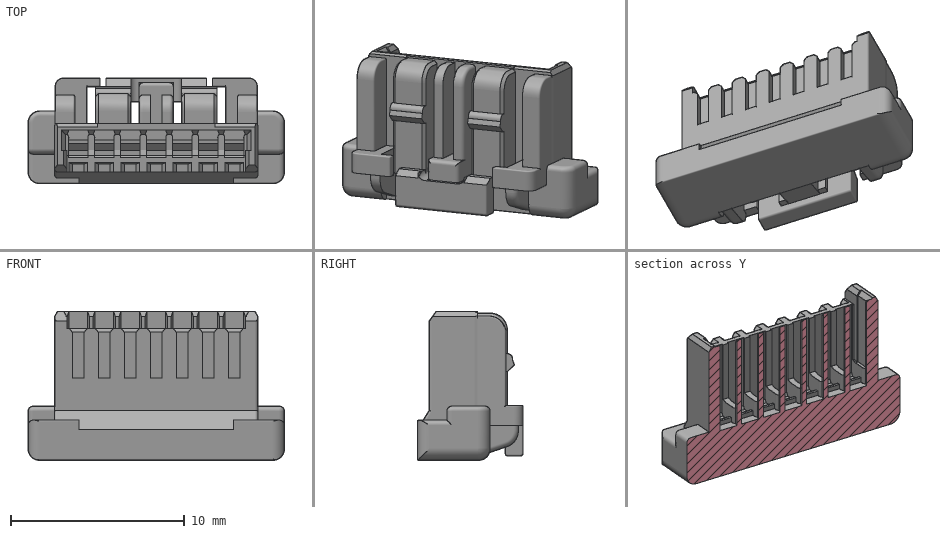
import cadquery as cq
import math

POSITIONS = 7
PITCH = 1.5

BASE_HALF = 7.4
BASE_REAR = 4.2
BASE_HEIGHT = 2.32
LUG_FRONT = 1.7
LUG_TOP = 3.13
BASE_RADIUS = 0.69
BASE_BOTTOM_RADIUS = 0.67
LUG_RADIUS = 0.3
BASE_EDGE_RADIUS = 0.08
RIM_GAP_HALF = 4.45
APRON_LOW = 1.78
APRON_HIGH = 2.88

HOUSING_HALF = 5.87
HOUSING_FRONT = 0.68
HOUSING_REAR = 3.48
HOUSING_TOP = 8.6
HOUSING_EDGE_RADIUS = 0.17
REAR_CORNER_Y = 3.3
END_CHAMFER_X = 0.17
END_CHAMFER_Z = 0.3
POST_CHAMFER_Y = 0.4
POST_CHAMFER_Z = 0.57
REAR_CHAMFER_Y = 0.2
REAR_CHAMFER_Z = 0.1
REAR_CHAMFER_START = 3.4

FRONT_WALL_BACK = 1.52
FRONT_WALL_TOP = 7.62
CAVITY_SPLIT = 1.92
CAVITY_BACK = 3.11
CAVITY_FLOOR = 3.0
LEAD_IN_DEPTH = 0.3
FRONT_CAVITY_HALF = 5.16
FRONT_LEAD_IN = 0.19
REAR_CAVITY_HALF = 5.25
REAR_LEAD_IN = 0.23
LEDGE_FOOT = 1.64
SHELF_FRONT = 2.33
SHELF_BACK = 2.51
SHELF_RISE = 0.28
LEDGE_RISE = 0.2

RIB_FRONT = 2.84
RIB_ROOT_WIDTH = 0.41
RIB_TIP_WIDTH = 0.22
RIB_TOP_DROP = 0.3
DIVIDER_TOP = 4.0
DIVIDER_WIDTH = 0.39
DIVIDER_SHOULDER = 2.6
POST_SLOPE_Z = 0.08

SLOT_WIDTH = 0.68
SLOT_BOTTOM = 4.76
SLOT_BACK = 1.13
SLOT_FLARE_X = 0.19
SLOT_FLARE_Y = 0.09
SLOT_FLARE_Z = 0.22

TOWER_TOP = 8.5
END_TOWER_TOP = 8.33
TOWER_RADIUS = 1.0
END_TOWER_REAR = 5.12
END_TOWER_OUTER = 5.84
END_TOWER_INNER = 4.7
LATCH_TOWER_REAR = 5.2
LATCH_OUTER = 3.52
LATCH_INNER = 1.46
LATCH_EDGE_CHAMFER = 0.18
CENTER_HALF = 0.985
CENTER_RIB_INNER = 0.33
TOWER_EDGE_RADIUS = 0.1
CENTER_EDGE_RADIUS = 0.22
NOSE_REAR = 5.6
NOSE_ARC_END = 5.5
NOSE_ARC_Z = 5.8
NOSE_TOP = 6.17
NOSE_MID = 5.5
NOSE_BOTTOM = 5.13
FOOT_BOTTOM = 2.0
FOOT_TOP = 3.17
FOOT_REAR = 6.1
FOOT_RADIUS = 0.5
FOOT_EDGE_RADIUS = 0.08
HOOK_FRONT = 5.59
HOOK_INNER = 3.24
FOOT_INNER = 4.0
KEEL_REAR = 5.83
KEEL_FRONT_Z = 0.16
KEEL_ARC_Y = 5.11
KEEL_ARC_Z = 0.77
KEEL_ARC_MID_Y = 5.65
KEEL_ARC_MID_Z = 1.15
KEEL_ARC_TOP = 1.71
KEEL_OUTER = END_TOWER_INNER
KEEL_EDGE_RADIUS = 0.26
BRIDGE_HALF = 2.91
BRIDGE_FRONT = 5.07
BRIDGE_BOTTOM = 0.25
BRIDGE_TOP = 2.4
BRIDGE_SLOPE_Z = 0.3
BRIDGE_FOOT_RADIUS = 0.15
BRIDGE_CENTER_FRONT = 4.73
TROUGH_RADIUS = 0.41

OVERRUN = 0.5


def box(x0, x1, y0, y1, z0, z1):
    return cq.Workplane("XY").box(x1 - x0, y1 - y0, z1 - z0, centered=False).translate((x0, y0, z0))


def prism_x(points, x0, x1):
    """Extrude a (Y, Z) outline from x0 to x1."""
    return cq.Workplane("YZ").polyline(points).close().extrude(x1 - x0).translate((x0, 0, 0))


def prism_y(points, y0, y1):
    """Extrude an (X, Z) outline from y0 to y1."""
    return cq.Workplane("XZ").polyline(points).close().extrude(y0 - y1).translate((0, y0, 0))


def both_sides(half):
    return half.union(half.mirror("YZ"))


def make_base():
    """Low front rim joined to taller end lugs behind it, open at the rear for the keels."""
    lugs = box(-BASE_HALF, BASE_HALF, LUG_FRONT, BASE_REAR, 0, LUG_TOP)
    lugs = lugs.edges("|Z and >Y").fillet(BASE_RADIUS)
    lugs = lugs.faces("<Z").edges("not <Y").fillet(BASE_BOTTOM_RADIUS)
    lugs = lugs.edges(">Z or (|Z and <Y)").fillet(LUG_RADIUS)
    rim_rear = BASE_REAR - 2 * BASE_RADIUS
    rim = box(-BASE_HALF, BASE_HALF, 0, rim_rear, 0, BASE_HEIGHT)
    rim = rim.edges("|Y and >Z").fillet(LUG_RADIUS)
    rim = rim.edges("|Y and <Z").fillet(BASE_BOTTOM_RADIUS)
    rim = rim.faces("<Y").edges("|X").fillet(BASE_EDGE_RADIUS)
    plan = box(-BASE_HALF, BASE_HALF, 0, rim_rear, 0, BASE_HEIGHT).edges("|Z and <Y").fillet(BASE_RADIUS)
    base = lugs.union(rim.intersect(plan))
    return base.cut(box(-KEEL_OUTER, KEEL_OUTER, HOUSING_REAR, BASE_REAR, 0, LUG_TOP))


def add_apron(body):
    """Slope joining the housing front to the base, with the front rim opened to meet it."""
    body = body.cut(box(-RIM_GAP_HALF, RIM_GAP_HALF, 0, HOUSING_FRONT, APRON_LOW, BASE_HEIGHT))
    outline = [(0, APRON_LOW), (HOUSING_FRONT, APRON_HIGH), (LUG_FRONT, APRON_HIGH), (LUG_FRONT, APRON_LOW)]
    apron = prism_x(outline, -HOUSING_HALF, HOUSING_HALF)
    apron = apron.faces("<X or >X").edges("<Y").fillet(HOUSING_EDGE_RADIUS)
    return body.union(apron)


def make_housing():
    housing = (
        cq.Workplane("XY")
        .moveTo(-HOUSING_HALF, HOUSING_FRONT)
        .lineTo(HOUSING_HALF, HOUSING_FRONT)
        .lineTo(HOUSING_HALF, REAR_CORNER_Y)
        .lineTo(END_TOWER_OUTER, HOUSING_REAR)
        .lineTo(-END_TOWER_OUTER, HOUSING_REAR)
        .lineTo(-HOUSING_HALF, REAR_CORNER_Y)
        .close()
        .extrude(HOUSING_TOP)
    )
    housing = housing.edges("|Z and <Y").fillet(HOUSING_EDGE_RADIUS)
    end_chamfer = prism_y(
        [
            (HOUSING_HALF - END_CHAMFER_X, HOUSING_TOP),
            (HOUSING_HALF, HOUSING_TOP - END_CHAMFER_Z),
            (HOUSING_HALF, HOUSING_TOP),
        ],
        HOUSING_FRONT,
        HOUSING_REAR,
    )
    rear_chamfer = prism_x(
        [
            (HOUSING_REAR, HOUSING_TOP),
            (HOUSING_REAR - REAR_CHAMFER_Y, HOUSING_TOP),
            (HOUSING_REAR, HOUSING_TOP - REAR_CHAMFER_Z),
        ],
        REAR_CHAMFER_START,
        HOUSING_HALF,
    )
    post_chamfer = prism_x(
        [
            (HOUSING_FRONT, HOUSING_TOP),
            (HOUSING_FRONT, HOUSING_TOP - POST_CHAMFER_Z),
            (HOUSING_FRONT + POST_CHAMFER_Y, HOUSING_TOP),
        ],
        -HOUSING_HALF,
        HOUSING_HALF,
    )
    return housing.cut(both_sides(end_chamfer)).cut(both_sides(rear_chamfer)).cut(post_chamfer)


def cavity_section(half, lead_in, floor, y0, y1):
    """Cavity stretch whose end walls slope outward at the mouth."""
    right = [(half, floor), (half, HOUSING_TOP - LEAD_IN_DEPTH), (half + lead_in, HOUSING_TOP)]
    left = [(-x, z) for x, z in reversed(right)]
    return prism_y(right + left, y0, y1)


def cut_cavity(body):
    mouth_front = HOUSING_FRONT - OVERRUN
    body = body.cut(
        cavity_section(FRONT_CAVITY_HALF, FRONT_LEAD_IN, FRONT_WALL_TOP, mouth_front, CAVITY_SPLIT)
    )
    body = body.cut(
        cavity_section(FRONT_CAVITY_HALF, FRONT_LEAD_IN, CAVITY_FLOOR, FRONT_WALL_BACK, CAVITY_SPLIT)
    )
    body = body.cut(
        cavity_section(REAR_CAVITY_HALF, REAR_LEAD_IN, CAVITY_FLOOR, CAVITY_SPLIT, CAVITY_BACK)
    )
    shelf_top = CAVITY_FLOOR + SHELF_RISE
    ledge = [
        (FRONT_WALL_BACK, CAVITY_FLOOR),
        (LEDGE_FOOT, CAVITY_FLOOR),
        (FRONT_WALL_BACK, CAVITY_FLOOR + LEDGE_RISE),
    ]
    shelf = [
        (CAVITY_SPLIT, CAVITY_FLOOR),
        (SHELF_FRONT, shelf_top),
        (SHELF_BACK, shelf_top),
        (SHELF_BACK, CAVITY_FLOOR),
    ]
    for outline in (ledge, shelf):
        body = body.union(prism_x(outline, -REAR_CAVITY_HALF, REAR_CAVITY_HALF))
    return body


def make_rib(x):
    root = RIB_ROOT_WIDTH / 2
    tip = RIB_TIP_WIDTH / 2
    rib = (
        cq.Workplane("XY", origin=(x, 0, CAVITY_FLOOR))
        .polyline([(-root, CAVITY_BACK), (-tip, RIB_FRONT), (tip, RIB_FRONT), (root, CAVITY_BACK)])
        .close()
        .extrude(HOUSING_TOP - CAVITY_FLOOR)
    )
    top_slope = prism_x(
        [
            (CAVITY_BACK, HOUSING_TOP),
            (RIB_FRONT, HOUSING_TOP - RIB_TOP_DROP),
            (RIB_FRONT, HOUSING_TOP),
        ],
        x - root,
        x + root,
    )
    return rib.cut(top_slope)


def make_divider(x):
    half = DIVIDER_WIDTH / 2
    tip = RIB_TIP_WIDTH / 2
    bulge_x = tip + (half - tip) * math.cos(math.pi / 4)
    bulge_y = DIVIDER_SHOULDER + (RIB_FRONT - DIVIDER_SHOULDER) * math.sin(math.pi / 4)
    return (
        cq.Workplane("XY", origin=(x, 0, CAVITY_FLOOR))
        .moveTo(-half, CAVITY_SPLIT)
        .lineTo(half, CAVITY_SPLIT)
        .lineTo(half, DIVIDER_SHOULDER)
        .threePointArc((bulge_x, bulge_y), (tip, RIB_FRONT))
        .lineTo(-tip, RIB_FRONT)
        .threePointArc((-bulge_x, bulge_y), (-half, DIVIDER_SHOULDER))
        .close()
        .extrude(DIVIDER_TOP - CAVITY_FLOOR)
    )


def make_post(x):
    """Thickening on the back of the front wall, sloping down to the divider at its foot."""
    outline = [
        (FRONT_WALL_BACK, CAVITY_FLOOR),
        (FRONT_WALL_BACK, FRONT_WALL_TOP),
        (LEDGE_FOOT, FRONT_WALL_TOP),
        (LEDGE_FOOT, DIVIDER_TOP + POST_SLOPE_Z),
        (CAVITY_SPLIT, DIVIDER_TOP),
        (CAVITY_SPLIT, CAVITY_FLOOR),
    ]
    return prism_x(outline, x - DIVIDER_WIDTH / 2, x + DIVIDER_WIDTH / 2)


def add_ribs_and_dividers(body):
    for i in range(POSITIONS + 1):
        x = (i - POSITIONS / 2) * PITCH
        body = body.union(make_rib(x)).union(make_divider(x)).union(make_post(x))
    return body


def make_slot(x):
    half = SLOT_WIDTH / 2
    front = HOUSING_FRONT - OVERRUN
    slot = box(x - half, x + half, front, SLOT_BACK, SLOT_BOTTOM, FRONT_WALL_TOP)
    depth = SLOT_BACK - front
    flare = (
        cq.Workplane("XY", origin=(x, front, FRONT_WALL_TOP - SLOT_FLARE_Z))
        .center(0, depth / 2)
        .rect(SLOT_WIDTH, depth)
        .workplane(offset=SLOT_FLARE_Z)
        .center(0, SLOT_FLARE_Y / 2)
        .rect(SLOT_WIDTH + 2 * SLOT_FLARE_X, depth + SLOT_FLARE_Y)
        .loft(ruled=True)
    )
    return slot.union(flare)


def cut_slots(body):
    for i in range(POSITIONS):
        body = body.cut(make_slot((i - (POSITIONS - 1) / 2) * PITCH))
    return body


def make_tower(x0, x1, rear, top):
    """Upright on the housing rear with a rounded top rear edge."""
    tower = box(x0, x1, REAR_CORNER_Y, rear, FOOT_BOTTOM, top)
    return tower.edges(">Y and >Z").fillet(TOWER_RADIUS)


def make_keel(x0, x1):
    """Lower body under the end feet and the centre plinth, with a sloped and rounded underside."""
    return (
        cq.Workplane("YZ")
        .moveTo(REAR_CORNER_Y, KEEL_FRONT_Z)
        .lineTo(KEEL_ARC_Y, KEEL_ARC_Z)
        .threePointArc((KEEL_ARC_MID_Y, KEEL_ARC_MID_Z), (KEEL_REAR, KEEL_ARC_TOP))
        .lineTo(KEEL_REAR, FOOT_BOTTOM)
        .lineTo(REAR_CORNER_Y, FOOT_BOTTOM)
        .close()
        .extrude(x1 - x0)
        .translate((x0, 0, 0))
    )


def make_end_tower():
    """Outermost tower with its hooked foot and the keel below it."""
    tower = make_tower(END_TOWER_INNER, END_TOWER_OUTER, END_TOWER_REAR, END_TOWER_TOP)
    tower = tower.faces("<X or >X").edges("not(<Y or <Z)").fillet(TOWER_EDGE_RADIUS)
    foot = box(FOOT_INNER, END_TOWER_OUTER, REAR_CORNER_Y, FOOT_REAR, FOOT_BOTTOM, FOOT_TOP)
    hook = box(HOOK_INNER, FOOT_INNER, HOOK_FRONT, FOOT_REAR, FOOT_BOTTOM, FOOT_TOP)
    foot = foot.union(hook).clean()
    foot = foot.edges("|Z and >X and >Y").fillet(FOOT_RADIUS)
    foot = foot.edges("|Z and <X").fillet(FOOT_EDGE_RADIUS)
    foot = foot.faces(">Z").edges(">Y or >X").fillet(FOOT_EDGE_RADIUS)
    keel = make_keel(FOOT_INNER, KEEL_OUTER)
    keel = keel.faces(">X").edges("not(<Y or >Z)").fillet(KEEL_EDGE_RADIUS)
    return tower.union(foot).union(keel)


def make_latch_tower():
    """Chamfered tower carrying the rounded latch nose on its rear face."""
    tower = make_tower(LATCH_INNER, LATCH_OUTER, LATCH_TOWER_REAR, TOWER_TOP)
    tower = tower.faces("<X or >X").edges("not(<Y or <Z)").chamfer(LATCH_EDGE_CHAMFER)
    nose = (
        cq.Workplane("YZ")
        .moveTo(REAR_CORNER_Y, NOSE_TOP)
        .lineTo(LATCH_TOWER_REAR, NOSE_TOP)
        .threePointArc(
            (
                LATCH_TOWER_REAR + (NOSE_ARC_END - LATCH_TOWER_REAR) * math.sin(math.pi / 4),
                NOSE_ARC_Z + (NOSE_TOP - NOSE_ARC_Z) * math.cos(math.pi / 4),
            ),
            (NOSE_ARC_END, NOSE_ARC_Z),
        )
        .lineTo(NOSE_REAR, NOSE_MID)
        .lineTo(LATCH_TOWER_REAR, NOSE_BOTTOM)
        .lineTo(REAR_CORNER_Y, NOSE_BOTTOM)
        .close()
        .extrude(LATCH_OUTER - LATCH_INNER)
        .translate((LATCH_INNER, 0, 0))
    )
    return tower.union(nose)


def make_center():
    """Pair of narrow ribs standing on a plinth at the middle of the rear."""
    rib = make_tower(CENTER_RIB_INNER, CENTER_HALF, END_TOWER_REAR, TOWER_TOP)
    rib = rib.faces(">X").edges("not(<Y or <Z)").fillet(CENTER_EDGE_RADIUS)
    plinth = box(-CENTER_HALF, CENTER_HALF, REAR_CORNER_Y, KEEL_REAR, FOOT_BOTTOM, FOOT_TOP)
    plinth = plinth.edges("(>Y and >Z) or (|Z and >Y)").fillet(CENTER_EDGE_RADIUS)
    return both_sides(rib).union(plinth).union(make_keel(-CENTER_HALF, CENTER_HALF))


def make_bridge():
    """Low bar across the rear that ties the latch towers to the centre."""
    bar = box(-BRIDGE_HALF, BRIDGE_HALF, BRIDGE_FRONT, FOOT_REAR, BRIDGE_BOTTOM, BRIDGE_TOP)
    bar = bar.edges("|X and <Z").fillet(BRIDGE_FOOT_RADIUS)
    bar = bar.edges("|Z and >Y").fillet(FOOT_EDGE_RADIUS)
    slope = prism_x(
        [
            (FOOT_REAR, BRIDGE_TOP),
            (FOOT_REAR, BRIDGE_TOP - BRIDGE_SLOPE_Z),
            (HOOK_FRONT, BRIDGE_TOP),
        ],
        LATCH_INNER,
        BRIDGE_HALF,
    )
    trough_floor_z = BRIDGE_TOP - TROUGH_RADIUS
    trough = box(-LATCH_INNER, LATCH_INNER, BRIDGE_FRONT, FOOT_REAR, trough_floor_z, BRIDGE_TOP)
    floor = box(-LATCH_INNER, LATCH_INNER, BRIDGE_CENTER_FRONT, FOOT_REAR, KEEL_ARC_Z, trough_floor_z)
    arc_offset = TROUGH_RADIUS * (1 - math.cos(math.pi / 4))
    curb = (
        cq.Workplane("XZ")
        .moveTo(LATCH_INNER, trough_floor_z)
        .lineTo(LATCH_INNER, BRIDGE_TOP)
        .threePointArc(
            (LATCH_INNER - arc_offset, trough_floor_z + arc_offset),
            (LATCH_INNER - TROUGH_RADIUS, trough_floor_z),
        )
        .close()
        .extrude(BRIDGE_CENTER_FRONT - FOOT_REAR)
        .translate((0, BRIDGE_CENTER_FRONT, 0))
    )
    return bar.cut(both_sides(slope)).cut(trough).union(floor).union(both_sides(curb))


body = add_apron(make_base()).union(make_housing())
body = cut_cavity(body)
body = add_ribs_and_dividers(body)
body = cut_slots(body)
body = body.union(both_sides(make_end_tower()))
body = body.union(both_sides(make_latch_tower()))
body = body.union(make_center())
result = body.union(make_bridge())